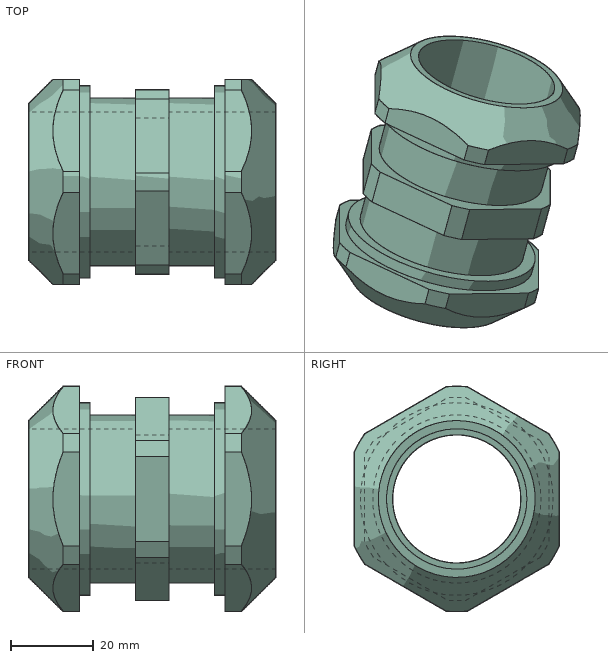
import cadquery as cq
import math

length = 60.3
bore_diameter = 31.2
counterbore_diameter = 34.2
body_diameter = 41.0
collar_diameter = 47.0
collar_width = 2.6

nut_width = 12.4
nut_across_flats = 50.0
nut_corner_diameter = 55.0
nut_nose_diameter = 38.25
nut_cone_length = 8.45

middle_hex_width = 8.2
middle_across_flats = 45.0
middle_corner_diameter = 49.55

half_length = length / 2
cos_30 = math.cos(math.radians(30))


def cylinder(diameter, start, width):
    """Cylinder along X that begins at x = start."""
    return cq.Workplane("YZ", origin=(start, 0, 0)).circle(diameter / 2).extrude(width)


def rounded_hexagon(across_flats, corner_diameter, start, width):
    """Hexagonal prism with flats facing Y and corners turned to a diameter."""
    hexagon = (
        cq.Workplane("YZ", origin=(start, 0, 0))
        .transformed(rotate=(0, 0, 90))
        .polygon(6, across_flats / cos_30)
        .extrude(width)
    )
    return hexagon.intersect(cylinder(corner_diameter, start, width))


def dome_nut():
    """Left-hand nut: hexagon trimmed by a cone towards its outer face."""
    nut = rounded_hexagon(nut_across_flats, nut_corner_diameter, -half_length, nut_width)
    cone_profile = (
        cq.Workplane("XY")
        .moveTo(-half_length, 0)
        .lineTo(-half_length, nut_nose_diameter / 2)
        .lineTo(-half_length + nut_cone_length, nut_corner_diameter / 2)
        .lineTo(-half_length + nut_width, nut_corner_diameter / 2)
        .lineTo(-half_length + nut_width, 0)
        .close()
    )
    cone = cone_profile.revolve(360, (0, 0, 0), (1, 0, 0))
    return nut.intersect(cone)


def gland_end():
    """Left-hand nut together with the collar behind it."""
    collar = cylinder(collar_diameter, -half_length + nut_width, collar_width)
    return dome_nut().union(collar)


left_end = gland_end()
right_end = left_end.mirror("YZ")
body_length = length - 2 * nut_width
body = cylinder(body_diameter, -body_length / 2, body_length)
middle_hex = rounded_hexagon(
    middle_across_flats, middle_corner_diameter, -middle_hex_width / 2, middle_hex_width
)
bore = cylinder(bore_diameter, -half_length, length)

counterbore_depth = (length - middle_hex_width) / 2
left_counterbore = cylinder(counterbore_diameter, -half_length, counterbore_depth)
right_counterbore = left_counterbore.mirror("YZ")

gland = body.union(left_end).union(right_end).union(middle_hex)
result = gland.cut(bore).cut(left_counterbore).cut(right_counterbore)